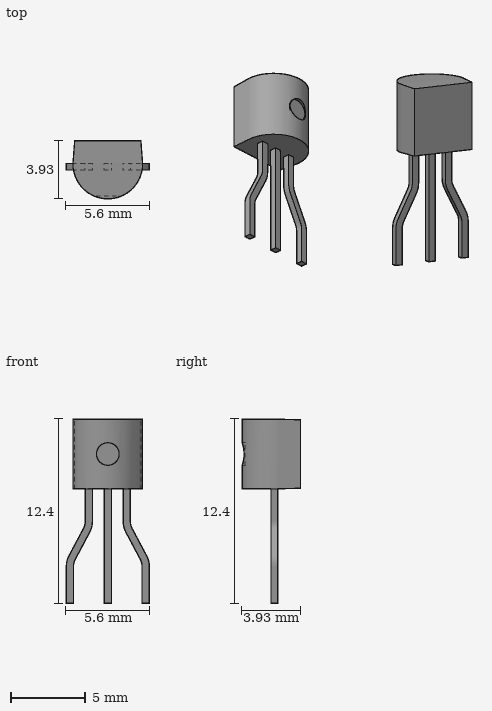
import cadquery as cq
import math


case_width = 4.7
case_height = 4.7
case_radius = case_width / 2
front_depth = 2.4
back_depth = 1.53
side_draft = 4.4
end_draft = 1.5

mark_diameter = 1.52
mark_depth = 0.2

lead_width = 0.5
lead_thickness = 0.46
lead_length = 7.7
outer_pitch = 2.55
inner_pitch = outer_pitch / 2
upper_corner_z = -2.5
lower_corner_z = -4.9
bend_radius = 1.25


def make_case():
    """D-shaped front half, drafted back half and the mould mark as one solid."""
    flank = front_depth - case_radius
    front = (
        cq.Workplane("XY")
        .moveTo(-case_radius, 0)
        .lineTo(-case_radius, -flank)
        .threePointArc((0, -front_depth), (case_radius, -flank))
        .lineTo(case_radius, 0)
        .close()
        .extrude(case_height)
    )

    back_width = case_width - 2 * back_depth * math.tan(math.radians(side_draft))
    back_height = case_height - 2 * back_depth * math.tan(math.radians(end_draft))
    back = (
        cq.Workplane("XZ", origin=(0, 0, case_height / 2))
        .rect(case_width, case_height)
        .workplane(offset=-back_depth)
        .rect(back_width, back_height)
        .loft(ruled=True)
    )

    mark = (
        cq.Workplane("XZ", origin=(0, -front_depth + mark_depth, case_height / 2))
        .circle(mark_diameter / 2)
        .extrude(mark_depth)
    )
    return front.union(back).cut(mark).solids()


def make_straight_lead():
    """Middle lead, a plain rectangular bar."""
    return (
        cq.Workplane("XY")
        .rect(lead_width, lead_thickness)
        .extrude(-lead_length)
        .translate((0, -lead_thickness / 2, 0))
    )


def make_bent_lead(side):
    """Outer lead swept along its centre line; side is -1 for left, 1 for right."""
    top_x = side * inner_pitch
    bottom_x = side * outer_pitch
    middle_y = -lead_thickness / 2

    bend_angle = math.atan2(outer_pitch - inner_pitch, upper_corner_z - lower_corner_z)
    tangent = bend_radius * math.tan(bend_angle / 2)
    slant_x = side * tangent * math.sin(bend_angle)
    slant_z = tangent * math.cos(bend_angle)

    centre_line = (
        cq.Workplane("XZ", origin=(0, middle_y, 0))
        .moveTo(top_x, 0)
        .lineTo(top_x, upper_corner_z + tangent)
        .tangentArcPoint((top_x + slant_x, upper_corner_z - slant_z), relative=False)
        .lineTo(bottom_x - slant_x, lower_corner_z + slant_z)
        .tangentArcPoint((bottom_x, lower_corner_z - tangent), relative=False)
        .lineTo(bottom_x, -lead_length)
    )
    return (
        cq.Workplane("XY", origin=(top_x, middle_y, 0))
        .rect(lead_width, lead_thickness)
        .sweep(centre_line)
    )


case = make_case()
middle_lead = make_straight_lead()
outer_leads = [make_bent_lead(side) for side in (-1, 1)]

result = cq.Compound.makeCompound([
    case.val(),
    middle_lead.val(),
    *[lead.val() for lead in outer_leads],
])